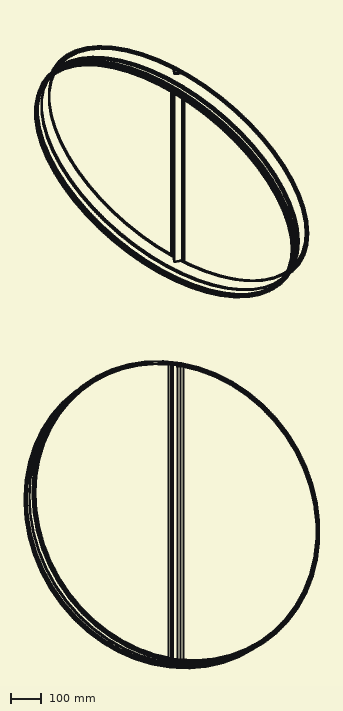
import cadquery as cq
import math

overall_length = 82.4
back_y = overall_length / 2
front_y = -overall_length / 2

sheet = 0.5
flange_radius = 1013.6 / 2
flange_thickness = 3.0
rear_radius = 998.6 / 2
neck_radius = 993.8 / 2
step_back_y = -2.0
step_length = 6.2
rim_radius = 1000.0 / 2
rim_return_y = -32.8

gasket_back_y = -25.8
gasket_front_y = rim_return_y
band_radius = 1001.6 / 2
long_lip_radius = 1009.0 / 2
short_lip_radius = 1004.0 / 2
lip_thickness = 1.0
lip_pitch = 3.5
lip_lean = 1.5

blade_radius = 995.0 / 2
blade_sheet = 0.5
blade_front_y = 39.5
ridge_half_width = 17.0
ridge_nose_radius = 2.0

stiffener_half_width = 26.0
stiffener_sheet = 0.5

spindle_radius = 7.0
spindle_half_length = rear_radius - sheet

FOLD_SHIFT = math.tan(math.radians(22.5))
NOSE_HALF_ANGLE = math.radians(45)


def make_housing():
    """Revolve the wall section about the duct axis; the rim curls outwards and back."""
    inner_neck = neck_radius - sheet
    inner_rear = rear_radius - sheet
    curl_outer = (rim_radius - inner_neck) / 2
    curl_inner = curl_outer - sheet
    curl_centre = inner_neck + curl_outer
    curl_y = front_y + curl_outer
    step_front_y = step_back_y - step_length
    flange_front_y = back_y - flange_thickness
    section = (
        cq.Workplane("XY")
        .moveTo(inner_rear, back_y)
        .lineTo(flange_radius, back_y)
        .lineTo(flange_radius, flange_front_y)
        .lineTo(rear_radius, flange_front_y)
        .lineTo(rear_radius, step_back_y)
        .lineTo(neck_radius, step_front_y)
        .lineTo(neck_radius, curl_y)
        .threePointArc((curl_centre, curl_y - curl_inner), (rim_radius - sheet, curl_y))
        .lineTo(rim_radius - sheet, rim_return_y)
        .lineTo(rim_radius, rim_return_y)
        .lineTo(rim_radius, curl_y)
        .threePointArc((curl_centre, front_y), (inner_neck, curl_y))
        .lineTo(inner_neck, step_front_y)
        .lineTo(inner_rear, step_back_y)
        .close()
    )
    return section.revolve(360, (0, 0, 0), (0, 1, 0))


def make_gasket():
    """Revolve the band and its two leaning lips about the duct axis."""
    outline = [(neck_radius, gasket_front_y), (neck_radius, gasket_back_y - lip_lean)]
    lips = [(long_lip_radius, gasket_back_y), (short_lip_radius, gasket_back_y - lip_pitch)]
    for lip_radius, lip_y in lips:
        outline += [
            (band_radius, lip_y - lip_lean),
            (lip_radius, lip_y),
            (lip_radius, lip_y - lip_thickness),
            (band_radius, lip_y - lip_lean - lip_thickness),
        ]
    outline.append((band_radius, gasket_front_y))
    return cq.Workplane("XY").polyline(outline).close().revolve(360, (0, 0, 0), (0, 1, 0))


def disc(radius):
    """A long cylinder along the duct axis, used to trim parts to a circle."""
    return cq.Workplane("XZ").circle(radius).extrude(overall_length, both=True)


def nose_points(shoulder_half_width, shoulder_y, radius):
    """Start, middle and end of the arc that rounds a 90 degree nose pointing to -Y."""
    sharp_tip_y = shoulder_y - shoulder_half_width
    tangent_x = radius * math.sin(NOSE_HALF_ANGLE)
    start = (-tangent_x, sharp_tip_y + tangent_x)
    middle = (0, sharp_tip_y + radius * (math.sqrt(2) - 1))
    end = (tangent_x, sharp_tip_y + tangent_x)
    return start, middle, end


def folded_sheet(half_width, sheet_front_y, ridge_half, nose_radius, thickness):
    """A flat sheet with a 90 degree ridge along Z, trimmed to the blade's circle."""
    rear_y = sheet_front_y + thickness
    inner_half = ridge_half - thickness * FOLD_SHIFT
    outer_nose = nose_points(ridge_half, sheet_front_y, nose_radius)
    inner_nose = nose_points(inner_half, rear_y, nose_radius - thickness)
    bar = (
        cq.Workplane("XY")
        .moveTo(-half_width, sheet_front_y)
        .lineTo(-ridge_half, sheet_front_y)
        .lineTo(*outer_nose[0])
        .threePointArc(outer_nose[1], outer_nose[2])
        .lineTo(ridge_half, sheet_front_y)
        .lineTo(half_width, sheet_front_y)
        .lineTo(half_width, rear_y)
        .lineTo(inner_half, rear_y)
        .lineTo(*inner_nose[2])
        .threePointArc(inner_nose[1], inner_nose[0])
        .lineTo(-inner_half, rear_y)
        .lineTo(-half_width, rear_y)
        .close()
        .extrude(blade_radius, both=True)
    )
    return bar.intersect(disc(blade_radius))


def make_spindle(fold_tip_y):
    """A round bar tangent to both faces of a 90 degree fold, with ends that follow the wall."""
    centre_y = fold_tip_y + spindle_radius * math.sqrt(2)
    bar = (
        cq.Workplane("XY")
        .center(0, centre_y)
        .circle(spindle_radius)
        .extrude(spindle_half_length, both=True)
    )
    return bar.intersect(disc(spindle_half_length))


housing = make_housing()
gasket = make_gasket()
blade = folded_sheet(
    blade_radius,
    blade_front_y,
    ridge_half_width,
    ridge_nose_radius,
    blade_sheet,
)

stiffener_front_y = blade_front_y + blade_sheet
stiffener_ridge_half = ridge_half_width - blade_sheet * FOLD_SHIFT
stiffener = folded_sheet(
    stiffener_half_width,
    stiffener_front_y,
    stiffener_ridge_half,
    ridge_nose_radius - blade_sheet,
    stiffener_sheet,
)

fold_tip_y = stiffener_front_y - stiffener_ridge_half + stiffener_sheet * math.sqrt(2)
spindle = make_spindle(fold_tip_y)

result = cq.Compound.makeCompound([
    housing.val(),
    gasket.val(),
    blade.val(),
    stiffener.val(),
    spindle.val(),
])